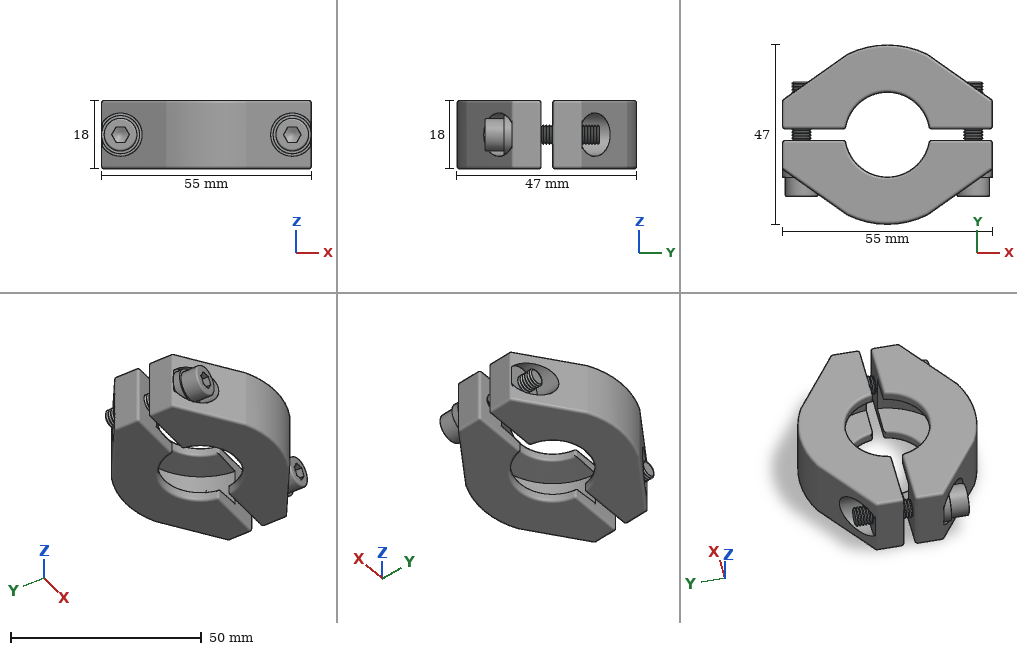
import cadquery as cq
import math


WIDTH = 55.0
HEIGHT = 18.0
OUTER_RADIUS = 23.51
GAP = 2.95
ARC_END_X = 10.5
SIDE_END_Y = 9.0
BORE_RADIUS = 11.1
GROOVE_RADIUS = 19.05
GROOVE_MOUTH_HEIGHT = 12.1
GROOVE_ROOT_HEIGHT = 11.0
LIP_RADIUS = 0.6
EDGE_RADIUS = 0.75

WASHER_RADIUS = 5.0
SCREW_X = WIDTH / 2 - WASHER_RADIUS
SEAT_Y = 9.2
COUNTERBORE_RADIUS = 5.65
WASHER_THICKNESS = 2.05
HEAD_RADIUS = 4.3
HEAD_HEIGHT = 5.0
HEAD_EDGE_RADIUS = 0.5
HEX_ACROSS_FLATS = 4.0
HEX_DEPTH = 2.5
HEX_CONE_DEPTH = 1.15
SHANK_LENGTH = 25.0
THREAD_RADIUS = 2.55
THREAD_DEPTH = 0.45
THREAD_PITCH = 0.8


def along_y(x, y):
    """Workplane at (x, y, 0) whose normal is +Y."""
    return cq.Workplane(cq.Plane(origin=(x, y, 0), xDir=(1, 0, 0), normal=(0, 1, 0)))


def groove_cutter():
    """Ring groove with tapered walls whose mouth edges run out into the bore with a radius."""
    mouth_z = GROOVE_MOUTH_HEIGHT / 2
    root_z = GROOVE_ROOT_HEIGHT / 2
    taper = math.atan2(mouth_z - root_z, GROOVE_RADIUS - BORE_RADIUS)
    tangent_length = LIP_RADIUS / math.tan((math.pi / 2 + taper) / 2)
    lip_r = BORE_RADIUS + tangent_length * math.cos(taper)
    lip_z = mouth_z - tangent_length * math.sin(taper)
    top_z = mouth_z + tangent_length
    upper = (
        cq.Workplane("XZ")
        .moveTo(GROOVE_RADIUS, 0)
        .lineTo(GROOVE_RADIUS, root_z)
        .lineTo(lip_r, lip_z)
        .tangentArcPoint((BORE_RADIUS, top_z), relative=False)
        .lineTo(0, top_z)
        .lineTo(0, 0)
        .close()
        .revolve(360, (0, 0, 0), (0, 1, 0))
    )
    return upper.union(upper.mirror("XY"))


def clamp_half():
    """Half on the +Y side, with bore, rounded edges, groove and screw counterbores."""
    half_width = WIDTH / 2
    face_y = GAP / 2
    arc_end_y = math.sqrt(OUTER_RADIUS**2 - ARC_END_X**2)
    bore_end_x = math.sqrt(BORE_RADIUS**2 - face_y**2)
    half = (
        cq.Workplane("XY")
        .workplane(offset=-HEIGHT / 2)
        .moveTo(bore_end_x, face_y)
        .lineTo(half_width, face_y)
        .lineTo(half_width, SIDE_END_Y)
        .lineTo(ARC_END_X, arc_end_y)
        .threePointArc((0, OUTER_RADIUS), (-ARC_END_X, arc_end_y))
        .lineTo(-half_width, SIDE_END_Y)
        .lineTo(-half_width, face_y)
        .lineTo(-bore_end_x, face_y)
        .threePointArc((0, BORE_RADIUS), (bore_end_x, face_y))
        .close()
        .extrude(HEIGHT)
        .edges("|Z")
        .fillet(EDGE_RADIUS)
        .faces("|Z")
        .edges()
        .fillet(EDGE_RADIUS)
    )
    half = half.cut(groove_cutter())
    for side in (-1, 1):
        counterbore = along_y(side * SCREW_X, SEAT_Y).circle(COUNTERBORE_RADIUS).extrude(OUTER_RADIUS)
        half = half.cut(counterbore)
    return half


def threaded_shank(start_y):
    """Shank from start_y towards +Y with evenly spaced V-shaped thread crests."""
    root_radius = THREAD_RADIUS - THREAD_DEPTH
    end_y = start_y + SHANK_LENGTH
    crest_count = int(SHANK_LENGTH / THREAD_PITCH)
    profile = cq.Workplane("XY").moveTo(0, start_y).lineTo(0, end_y).lineTo(root_radius, end_y)
    for crest in range(crest_count):
        crest_start = end_y - crest * THREAD_PITCH
        profile = profile.lineTo(THREAD_RADIUS, crest_start - THREAD_PITCH / 2)
        profile = profile.lineTo(root_radius, crest_start - THREAD_PITCH)
    profile = profile.lineTo(root_radius, start_y).close()
    return profile.revolve(360, (0, 0, 0), (0, 1, 0))


def hex_socket(head_y):
    """Cutter for the hexagon socket: a prism ending in a drill-point cone."""
    corner_radius = HEX_ACROSS_FLATS / math.sqrt(3)
    full_depth = HEX_DEPTH + HEX_CONE_DEPTH
    prism = along_y(0, head_y).polygon(6, 2 * corner_radius).extrude(full_depth)
    drill = (
        cq.Workplane("XY")
        .moveTo(0, head_y)
        .lineTo(corner_radius, head_y)
        .lineTo(corner_radius, head_y + HEX_DEPTH)
        .lineTo(0, head_y + full_depth)
        .close()
        .revolve(360, (0, 0, 0), (0, 1, 0))
    )
    return prism.intersect(drill)


def screw():
    """Washer and socket-head screw on the Y axis, head towards -Y."""
    under_head_y = -SEAT_Y - WASHER_THICKNESS
    head_y = under_head_y - HEAD_HEIGHT
    washer = along_y(0, under_head_y).circle(WASHER_RADIUS).extrude(WASHER_THICKNESS)
    head = (
        along_y(0, head_y)
        .circle(HEAD_RADIUS)
        .extrude(HEAD_HEIGHT)
        .faces("<Y")
        .edges()
        .fillet(HEAD_EDGE_RADIUS)
        .cut(hex_socket(head_y))
    )
    return threaded_shank(under_head_y).union(washer).union(head)


rear_half = clamp_half()
front_half = rear_half.mirror("XZ")
result = rear_half.union(front_half)
for side in (-1, 1):
    result = result.union(screw().translate((side * SCREW_X, 0, 0)))